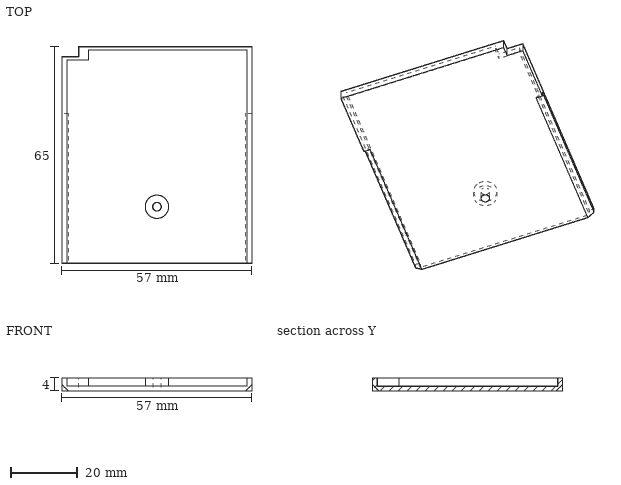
import cadquery as cq

width = 57.0
length = 65.0
height = 4.0

floor_thickness = 1.5
side_wall = 1.5
rear_wall = 1.0

notch_width = 5.0
notch_depth = 3.0
notch_side_wall = 3.0

bevel_size = 2.0
bevel_length = 45.0

boss_diameter = 7.0
hole_diameter = 2.5
boss_from_front = 17.0

left = -width / 2
right = width / 2
front = -length / 2
rear = length / 2


def stepped_plate(x_left, x_right, y_rear, step_x, step_y, z_bottom):
    """Plate up to the tray's top with a rectangular step cut from its rear left corner."""
    outline = [
        (x_left, front),
        (x_right, front),
        (x_right, y_rear),
        (step_x, y_rear),
        (step_x, step_y),
        (x_left, step_y),
    ]
    return cq.Workplane("XY", origin=(0, 0, z_bottom)).polyline(outline).close().extrude(height - z_bottom)


def tray():
    """Shallow tray, open at the top and at the front edge."""
    notch_x = left + notch_width
    notch_y = rear - notch_depth
    body = stepped_plate(left, right, rear, notch_x, notch_y, 0)
    cavity = stepped_plate(
        left + side_wall,
        right - side_wall,
        rear - rear_wall,
        notch_x + notch_side_wall,
        notch_y - rear_wall,
        floor_thickness,
    )
    return body.cut(cavity)


def side_bevel(x_edge, inward):
    """Triangular cutter for one lower side edge; inward is the X direction toward the middle."""
    triangle = [
        (x_edge, 0),
        (x_edge + inward * bevel_size, 0),
        (x_edge, bevel_size),
    ]
    return cq.Workplane("XZ", origin=(0, front, 0)).polyline(triangle).close().extrude(-bevel_length)


def cylinder(diameter):
    """Full-height cylinder on the boss axis."""
    boss_y = front + boss_from_front
    return cq.Workplane("XY").center(0, boss_y).circle(diameter / 2).extrude(height)


result = tray()
for edge, direction in ((left, 1), (right, -1)):
    result = result.cut(side_bevel(edge, direction))
result = result.union(cylinder(boss_diameter)).cut(cylinder(hole_diameter))